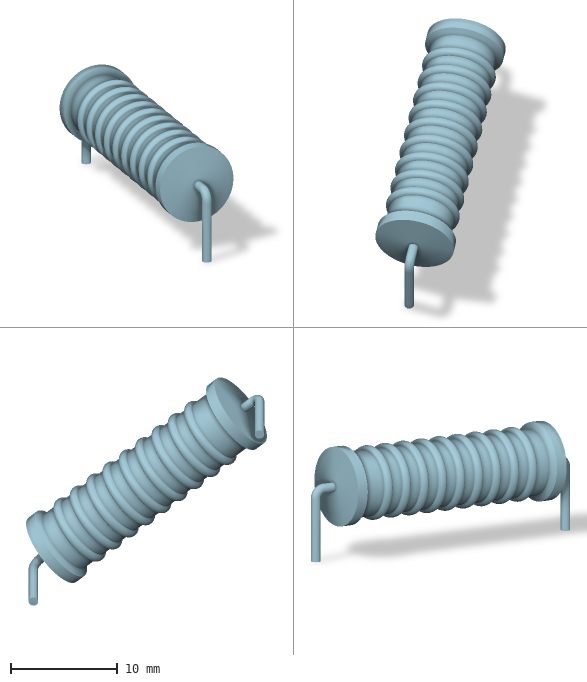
import cadquery as cq

overall_length = 28.85
lead_drop = 6.85

body_radius = 3.15
flange_radius = 3.75
flange_outer_x = 11.65
flange_width = 1.07
cone_height = 0.37
cone_tip_radius = 0.65
left_taper = 0.15
right_taper = 0.43

ring_count = 9
ring_pitch = 2.02
ring_center_x = 0.17
ring_wire_radius = 0.5
ring_major_radius = 3.03

lead_radius = 0.9 / 2
bend_radius = 0.9

tip_x = flange_outer_x + cone_height
flange_inner_x = flange_outer_x - flange_width
lead_x = overall_length / 2 - lead_radius


def make_body():
    """Revolve the flanged half profile about the X axis."""
    return (
        cq.Workplane("XZ")
        .moveTo(-tip_x, 0)
        .lineTo(-tip_x, cone_tip_radius)
        .lineTo(-flange_outer_x, flange_radius)
        .lineTo(-flange_inner_x, flange_radius)
        .lineTo(-flange_inner_x + left_taper, body_radius)
        .lineTo(flange_inner_x - right_taper, body_radius)
        .lineTo(flange_inner_x, flange_radius)
        .lineTo(flange_outer_x, flange_radius)
        .lineTo(tip_x, cone_tip_radius)
        .lineTo(tip_x, 0)
        .close()
        .revolve(360, (0, 0, 0), (1, 0, 0))
    )


def make_ring(x):
    """One round-section ring around the body."""
    return (
        cq.Workplane("XZ")
        .center(x, ring_major_radius)
        .circle(ring_wire_radius)
        .revolve(360, (0, -ring_major_radius, 0), (1, -ring_major_radius, 0))
    )


def make_right_lead():
    """Sweep a round wire out of the flange and down through a right-angle bend."""
    path = (
        cq.Workplane("XZ")
        .moveTo(flange_inner_x, 0)
        .lineTo(lead_x - bend_radius, 0)
        .radiusArc((lead_x, -bend_radius), bend_radius)
        .lineTo(lead_x, -lead_drop)
    )
    return cq.Workplane("YZ", origin=(flange_inner_x, 0, 0)).circle(lead_radius).sweep(path)


result = make_body()
for index in range(ring_count):
    ring_x = ring_center_x + (index - (ring_count - 1) / 2) * ring_pitch
    result = result.union(make_ring(ring_x))

right_lead = make_right_lead()
result = result.union(right_lead).union(right_lead.mirror("YZ"))